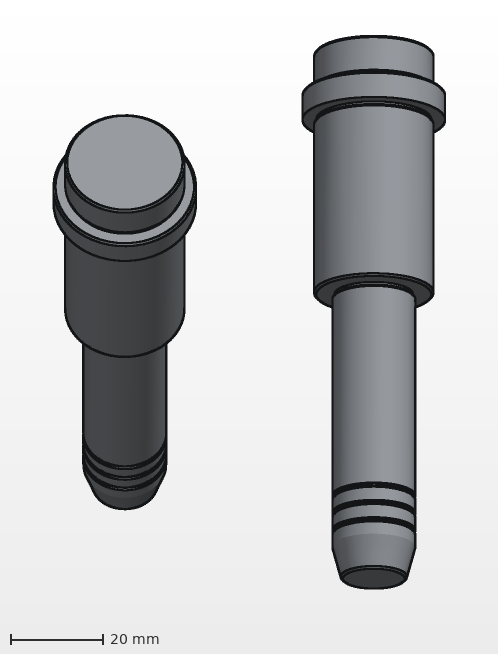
import cadquery as cq
import math

total_length = 120.0
flange_top = 111.0
flange_bottom = 105.0
body_bottom = 65.0
nose_top = 7.2

flange_radius = 15.5
body_radius = 13.0
pin_radius = 9.0

edge_break = 0.5
relief_depth = 0.5
relief_flat = 0.6

ring_count = 3
ring_pitch = 4.0
ring_top = 19.0
ring_flat = 0.5
ring_depth = 0.5

nose_angle = math.radians(15)
tip_break = 0.5


def groove(radius, wall, flat, depth, direction):
    """Groove with a square wall, a flat floor and a 45 degree run-out.

    It runs from the wall level upward (direction 1) or downward (direction -1).
    """
    floor = radius - depth
    return (
        cq.Workplane("XZ")
        .polyline([
            (floor, wall),
            (radius, wall),
            (radius, wall + direction * (flat + depth)),
            (floor, wall + direction * flat),
        ])
        .close()
        .revolve(360, (0, 0), (0, 1))
    )


tip_radius = pin_radius - (nose_top - tip_break) * math.tan(nose_angle)
blank = (
    cq.Workplane("XZ")
    .moveTo(0, 0)
    .lineTo(tip_radius - tip_break, 0)
    .lineTo(tip_radius, tip_break)
    .lineTo(pin_radius, nose_top)
    .lineTo(pin_radius, body_bottom)
    .lineTo(body_radius - edge_break, body_bottom)
    .lineTo(body_radius, body_bottom + edge_break)
    .lineTo(body_radius, flange_bottom)
    .lineTo(flange_radius, flange_bottom)
    .lineTo(flange_radius, flange_top - edge_break)
    .lineTo(flange_radius - edge_break, flange_top)
    .lineTo(body_radius, flange_top)
    .lineTo(body_radius, total_length - edge_break)
    .lineTo(body_radius - edge_break, total_length)
    .lineTo(0, total_length)
    .close()
    .revolve(360, (0, 0), (0, 1))
)

result = (
    blank
    .cut(groove(body_radius, flange_top, relief_flat, relief_depth, 1))
    .cut(groove(body_radius, flange_bottom, relief_flat, relief_depth, -1))
    .cut(groove(pin_radius, body_bottom, relief_flat, relief_depth, -1))
)

for index in range(ring_count):
    wall = ring_top - index * ring_pitch
    result = result.cut(groove(pin_radius, wall, ring_flat, ring_depth, -1))